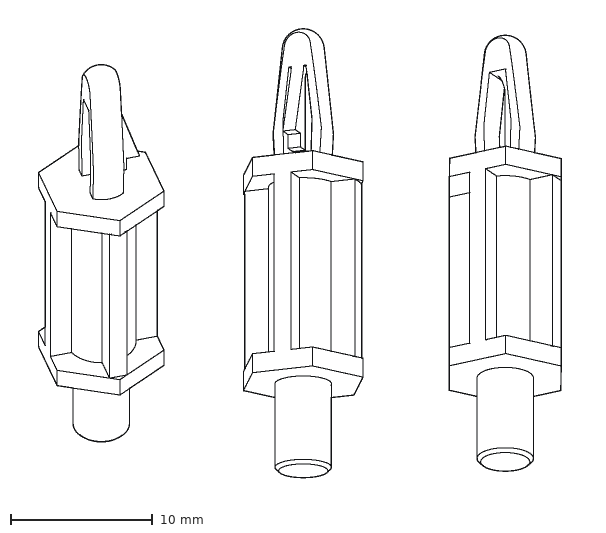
import cadquery as cq
import math

total_height = 32.5
post_length = 6.4
flange_thickness = 1.4
upper_flange_top = 22.25
upper_flange_bottom = upper_flange_top - flange_thickness
lower_flange_top = post_length + flange_thickness

hex_across_flats = 7.9
hex_across_corners = hex_across_flats / math.cos(math.radians(30))
core_diameter = 4.95
rib_thickness = 1.3
rib_span_x = 8.4

post_diameter = 4.0
post_chamfer = 0.25

head_thickness = 2.25
nose_radius = 1.5
head_base_radius = 2.0
head_widest_radius = 2.15
head_widest_z = 24.8

slot_top_z = 29.5
slot_top_width = 1.3
slot_widest_z = 25.5
slot_widest_width = 2.2
slot_base_width = 2.0

catch_width = 0.95
catch_inner_y = 0.78
catch_root_radius = 0.98
catch_top_z = 29.25
catch_tip_y = 2.7
catch_tip_z = 24.35
catch_tail_y = 1.72
catch_tail_z = 23.35


def hex_plate(bottom_z):
    plate = cq.Workplane("XY").workplane(offset=bottom_z)
    return plate.polygon(6, hex_across_corners).extrude(flange_thickness)


def make_post():
    post = cq.Workplane("XY").circle(post_diameter / 2).extrude(post_length)
    return post.faces("<Z").chamfer(post_chamfer)


def make_spacer():
    height = upper_flange_bottom - lower_flange_top
    base = cq.Workplane("XY").workplane(offset=lower_flange_top)
    core = base.circle(core_diameter / 2).extrude(height)
    rib_x = base.rect(rib_span_x, rib_thickness).extrude(height)
    rib_y = base.rect(rib_thickness, hex_across_flats).extrude(height)
    spacer = core.union(rib_x).union(rib_y)
    return spacer.union(hex_plate(post_length)).union(hex_plate(upper_flange_bottom))


def make_head():
    nose_center_z = total_height - nose_radius
    drop = nose_center_z - head_widest_z
    distance = math.hypot(head_widest_radius, drop)
    tangent_angle = math.acos(nose_radius / distance) - math.atan2(drop, head_widest_radius)
    middle_angle = (tangent_angle + math.pi / 2) / 2

    def nose_point(angle):
        return (nose_radius * math.cos(angle), nose_center_z + nose_radius * math.sin(angle))

    turned = (
        cq.Workplane("XZ")
        .moveTo(0, upper_flange_top)
        .lineTo(head_base_radius, upper_flange_top)
        .lineTo(head_widest_radius, head_widest_z)
        .lineTo(*nose_point(tangent_angle))
        .threePointArc(nose_point(middle_angle), (0, total_height))
        .close()
        .revolve(360, (0, 0, 0), (0, 1, 0))
    )
    flats = cq.Workplane("XY").workplane(offset=upper_flange_top).rect(
        2 * hex_across_flats, head_thickness
    ).extrude(total_height - upper_flange_top)
    slot = (
        cq.Workplane("XZ")
        .moveTo(slot_base_width / 2, upper_flange_top)
        .lineTo(slot_widest_width / 2, slot_widest_z)
        .lineTo(slot_top_width / 2, slot_top_z)
        .lineTo(-slot_top_width / 2, slot_top_z)
        .lineTo(-slot_widest_width / 2, slot_widest_z)
        .lineTo(-slot_base_width / 2, upper_flange_top)
        .close()
        .extrude(head_thickness, both=True)
    )
    return turned.intersect(flats).cut(slot)


def make_catch():
    root_y = catch_inner_y - catch_root_radius
    root_z = slot_top_z - catch_root_radius
    arc_offset = catch_root_radius * math.sqrt(0.5)
    return (
        cq.Workplane("YZ")
        .moveTo(root_y, slot_top_z)
        .threePointArc((root_y + arc_offset, root_z + arc_offset), (catch_inner_y, root_z))
        .lineTo(catch_inner_y, catch_tail_z)
        .lineTo(catch_tail_y, catch_tail_z)
        .lineTo(catch_tail_y, catch_tip_z)
        .lineTo(catch_tip_y, catch_tip_z)
        .lineTo(head_thickness / 2, catch_top_z)
        .lineTo(head_thickness / 2, slot_top_z)
        .close()
        .extrude(catch_width / 2, both=True)
    )


result = make_spacer().union(make_post()).union(make_head()).union(make_catch())